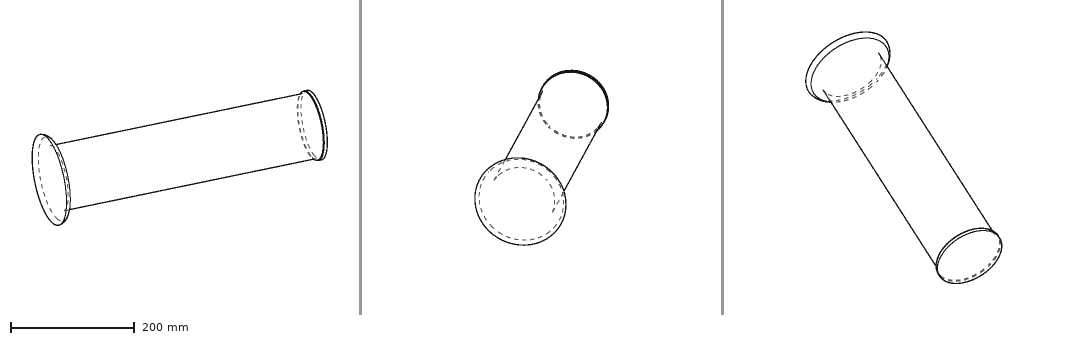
import cadquery as cq
import math

length = 460.5
body_radius = 54.0

base_radius = 75.0
base_top_radius = 69.5
base_edge_height = 8.8
base_inner_height = 10.0
base_edge_bulge = 1.15
base_fillet = 3.5

collar_radius = 57.5
collar_height = 5.5
collar_bevel_width = 1.0
collar_bevel_height = 1.5
collar_fillet = 4.0


def base_edge_midpoint():
    """Middle of the convex rim arc, pushed outward from its chord."""
    run = base_radius - base_top_radius
    chord = math.hypot(run, base_edge_height)
    radius = (base_radius + base_top_radius) / 2 + base_edge_bulge * base_edge_height / chord
    height = base_edge_height / 2 + base_edge_bulge * run / chord
    return radius, height


def cove_midpoint(cove_end, cove_radius, sweep, direction):
    """Middle of a cove tangent to the body at cove_end; direction is the Y sense toward its shoulder."""
    radius = body_radius + cove_radius * (1 - math.cos(sweep / 2))
    height = cove_end + direction * cove_radius * math.sin(sweep / 2)
    return radius, height


base_cove_sweep = math.pi / 2
base_cove_end = base_inner_height + base_fillet
base_shoulder_radius = body_radius + base_fillet
collar_start = length - collar_height
collar_shoulder_y = collar_start - collar_bevel_height
collar_shoulder_radius = collar_radius - collar_bevel_width
collar_cove_sweep = math.acos(1 - (collar_shoulder_radius - body_radius) / collar_fillet)
collar_cove_start = collar_shoulder_y - collar_fillet * math.sin(collar_cove_sweep)

profile = (
    cq.Workplane("XY")
    .lineTo(base_radius, 0)
    .threePointArc(base_edge_midpoint(), (base_top_radius, base_edge_height))
    .lineTo(base_shoulder_radius, base_inner_height)
    .threePointArc(
        cove_midpoint(base_cove_end, base_fillet, base_cove_sweep, -1),
        (body_radius, base_cove_end),
    )
    .lineTo(body_radius, collar_cove_start)
    .threePointArc(
        cove_midpoint(collar_cove_start, collar_fillet, collar_cove_sweep, 1),
        (collar_shoulder_radius, collar_shoulder_y),
    )
    .lineTo(collar_radius, collar_start)
    .lineTo(collar_radius, length)
    .lineTo(0, length)
    .close()
)

result = profile.revolve(360, (0, 0, 0), (0, 1, 0))